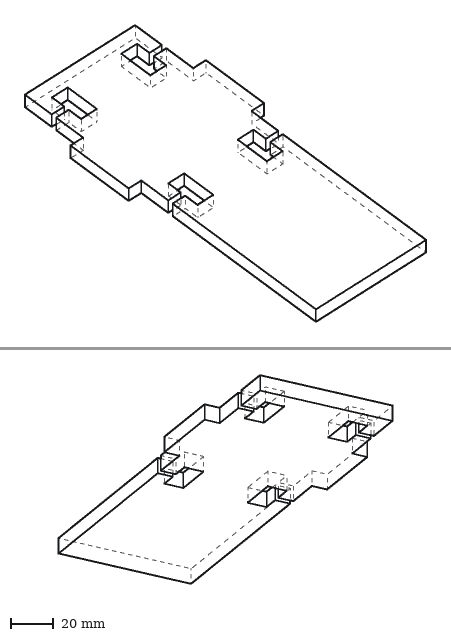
import cadquery as cq

length = 200.0
body_width = 70.0
thickness = 8.0

tab_start = 40.0
tab_length = 40.0
tab_projection = thickness

cutout_centers_x = (20.0, 100.0)
pocket_length = 20.0
pocket_width = 10.0
edge_wall = 8.0
slit_width = 3.0


def block(size_x, size_y, center_x, center_y):
    """Full-thickness block standing on the XY plane."""
    return (
        cq.Workplane("XY")
        .center(center_x, center_y)
        .rect(size_x, size_y)
        .extrude(thickness)
    )


def t_cutout(center_x, side):
    """Pocket and slit on the +Y (side = 1) or -Y (side = -1) edge."""
    edge_y = body_width / 2
    pocket_y = edge_y - edge_wall - pocket_width / 2
    slit_length = edge_y - pocket_y
    slit_y = edge_y - slit_length / 2
    pocket = block(pocket_length, pocket_width, center_x, side * pocket_y)
    slit = block(slit_width, slit_length, center_x, side * slit_y)
    return pocket.union(slit)


body = block(length, body_width, length / 2, 0)
tabs = block(tab_length, body_width + 2 * tab_projection, tab_start + tab_length / 2, 0)
result = body.union(tabs)

for cutout_x in cutout_centers_x:
    for edge_side in (-1, 1):
        result = result.cut(t_cutout(cutout_x, edge_side))